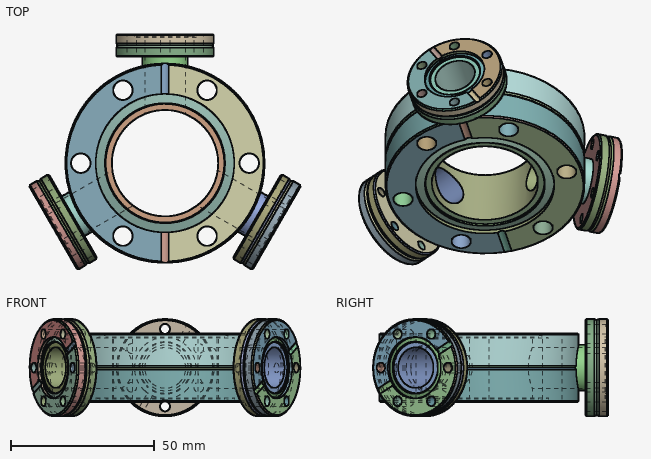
import cadquery as cq
import math

BODY_DIAMETER = 69.5
BODY_THICKNESS = 24.0
BODY_BORE = 37.0
BODY_RECESS_DIAMETER = 48.3
BODY_KNIFE_DIAMETER = 41.9
BODY_RECESS_DEPTH = 1.6
BODY_KNIFE_DEPTH = 0.6
BODY_LAND_DEPTH = 1.2
BODY_BOLT_CIRCLE = 58.7
BODY_BOLT_HOLE = 6.7
BODY_RIM_GROOVE_WIDTH = 1.4
BODY_LEAK_GROOVE_WIDTH = 2.6

PORT_REACH = 45.0
PORT_DIAMETER = 34.0
PORT_THICKNESS = 8.0
PORT_BORE = 14.2
PORT_RECESS_DIAMETER = 21.4
PORT_KNIFE_DIAMETER = 18.3
PORT_RECESS_DEPTH = 1.2
PORT_KNIFE_DEPTH = 0.6
PORT_LAND_DEPTH = 1.0
PORT_BOLT_CIRCLE = 27.0
PORT_BOLT_HOLE = 3.4
PORT_RIM_GROOVE_WIDTH = 1.7
PORT_LEAK_GROOVE_WIDTH = 2.0
TUBE_DIAMETER = 16.0

BOLT_COUNT = 6
BOLT_PITCH = 360.0 / BOLT_COUNT
RIM_CHAMFER = 0.5
RIM_GROOVE_DEPTH = 0.4
LEAK_GROOVE_DEPTH = 0.6
KNIFE_TIP_WIDTH = 0.3
CUT_MARGIN = 1.0

PORTS = [(90.0, 30.0), (210.0, -60.0), (330.0, -60.0)]
BODY_LEAK_ANGLE = 90.0


def flange_disc(diameter, thickness, groove_width):
    """Chamfered disc centred on the origin, with a V groove around its rim."""
    radius = diameter / 2
    half = thickness / 2
    outline = [
        (0, -half),
        (radius - RIM_CHAMFER, -half),
        (radius, RIM_CHAMFER - half),
        (radius, -groove_width / 2),
        (radius - RIM_GROOVE_DEPTH, 0),
        (radius, groove_width / 2),
        (radius, half - RIM_CHAMFER),
        (radius - RIM_CHAMFER, half),
        (0, half),
    ]
    return cq.Workplane("XZ").polyline(outline).close().revolve(360, (0, 0, 0), (0, 1, 0))


def seal_recess(face_height, recess_diameter, knife_diameter, recess_depth, knife_depth, land_depth):
    """Cutter for a gasket recess: conical floor rising to a knife edge, then a sunken inner land."""
    recess_radius = recess_diameter / 2
    knife_radius = knife_diameter / 2
    outline = [
        (0, face_height + CUT_MARGIN),
        (recess_radius, face_height + CUT_MARGIN),
        (recess_radius, face_height - recess_depth),
        (knife_radius, face_height - knife_depth),
        (knife_radius - KNIFE_TIP_WIDTH, face_height - land_depth),
        (0, face_height - land_depth),
    ]
    return cq.Workplane("XZ").polyline(outline).close().revolve(360, (0, 0, 0), (0, 1, 0))


def bolt_holes(hole_diameter, bolt_circle, thickness, start_angle):
    """Cutter for the ring of through bolt holes."""
    return (
        cq.Workplane("XY")
        .polarArray(bolt_circle / 2, start_angle, 360, BOLT_COUNT)
        .circle(hole_diameter / 2)
        .extrude(thickness, both=True)
    )


def leak_groove(face_height, groove_width, flange_diameter, angle):
    """Cutter for a shallow round-bottomed leak-check groove running across the flange face."""
    groove_radius = (groove_width**2 / 4 + LEAK_GROOVE_DEPTH**2) / (2 * LEAK_GROOVE_DEPTH)
    axis_height = face_height - LEAK_GROOVE_DEPTH + groove_radius
    return (
        cq.Workplane("YZ")
        .center(0, axis_height)
        .circle(groove_radius)
        .extrude(flange_diameter / 2 + CUT_MARGIN, both=True)
        .rotate((0, 0, 0), (0, 0, 1), angle)
    )


def cap_groove_at_recess(groove, recess_diameter, thickness):
    """Limit a leak groove to the flange face outside the gasket recess."""
    core = cq.Workplane("XY").circle(recess_diameter / 2).extrude(thickness, both=True)
    return groove.cut(core)


def make_body():
    half = BODY_THICKNESS / 2
    body = flange_disc(BODY_DIAMETER, BODY_THICKNESS, BODY_RIM_GROOVE_WIDTH)
    recess = seal_recess(
        half, BODY_RECESS_DIAMETER, BODY_KNIFE_DIAMETER,
        BODY_RECESS_DEPTH, BODY_KNIFE_DEPTH, BODY_LAND_DEPTH,
    )
    groove = leak_groove(half, BODY_LEAK_GROOVE_WIDTH, BODY_DIAMETER, BODY_LEAK_ANGLE)
    groove = cap_groove_at_recess(groove, BODY_RECESS_DIAMETER, BODY_THICKNESS)
    for cutter in (recess, groove):
        body = body.cut(cutter).cut(cutter.mirror("XY"))
    bore = cq.Workplane("XY").circle(BODY_BORE / 2).extrude(BODY_THICKNESS, both=True)
    return body.cut(bore).cut(bolt_holes(BODY_BOLT_HOLE, BODY_BOLT_CIRCLE, BODY_THICKNESS, 0))


def make_port_flange(leak_angle):
    """Port flange centred on the origin, its sealing face toward +Z."""
    half = PORT_THICKNESS / 2
    flange = flange_disc(PORT_DIAMETER, PORT_THICKNESS, PORT_RIM_GROOVE_WIDTH)
    recess = seal_recess(
        half, PORT_RECESS_DIAMETER, PORT_KNIFE_DIAMETER,
        PORT_RECESS_DEPTH, PORT_KNIFE_DEPTH, PORT_LAND_DEPTH,
    )
    groove = leak_groove(half, PORT_LEAK_GROOVE_WIDTH, PORT_DIAMETER, leak_angle)
    groove = cap_groove_at_recess(groove, PORT_RECESS_DIAMETER, PORT_THICKNESS)
    holes = bolt_holes(PORT_BOLT_HOLE, PORT_BOLT_CIRCLE, PORT_THICKNESS, leak_angle + BOLT_PITCH / 2)
    return flange.cut(recess).cut(groove).cut(holes)


def port_plane(direction, distance):
    """Plane across a port axis, facing outward, with its local X along world Z."""
    angle = math.radians(direction)
    outward = (math.cos(angle), math.sin(angle), 0)
    origin = (distance * outward[0], distance * outward[1], 0)
    return cq.Plane(origin=origin, xDir=(0, 0, 1), normal=outward)


def add_port(part, direction, leak_angle):
    """Join a port's tube and flange to the part, then open its bore into the central bore."""
    flange_centre = PORT_REACH - PORT_THICKNESS / 2
    location = cq.Location(port_plane(direction, flange_centre))
    flange = cq.Workplane(make_port_flange(leak_angle).val().located(location))
    tube_start = (BODY_BORE + BODY_DIAMETER) / 4
    tube = (
        cq.Workplane(port_plane(direction, tube_start))
        .circle(TUBE_DIAMETER / 2)
        .extrude(flange_centre - tube_start)
    )
    bore_start = BODY_BORE / 4
    bore = (
        cq.Workplane(port_plane(direction, bore_start))
        .circle(PORT_BORE / 2)
        .extrude(PORT_REACH - bore_start)
    )
    return part.union(tube).union(flange).cut(bore)


result = make_body()
for port_direction, port_leak_angle in PORTS:
    result = add_port(result, port_direction, port_leak_angle)